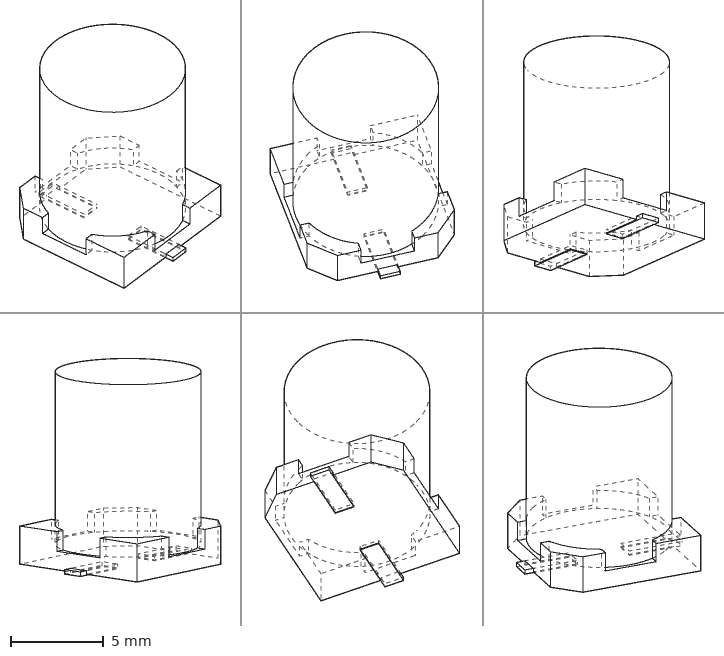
import cadquery as cq

total_height = 10.54
can_diameter = 7.88
base_width = 8.31
base_top = 2.15
base_bottom = 0.05
corner_chamfer = 1.32
notch_width = 3.01
seat_height = 1.08
lead_span = 9.3
lead_inner_gap = 3.08
lead_width = 1.12
lead_thickness = 0.25

lead_length = (lead_span - lead_inner_gap) / 2
lead_center = (lead_span + lead_inner_gap) / 4


def cylinder_can():
    """Capacitor can standing on the seat of the base."""
    return (
        cq.Workplane("XY")
        .workplane(offset=seat_height)
        .circle(can_diameter / 2)
        .extrude(total_height - seat_height)
    )


def lead_strip(side):
    """Flat lead running outward along X; side is -1 or +1."""
    return cq.Workplane("XY").box(
        lead_length, lead_width, lead_thickness, centered=(True, True, False)
    ).translate((side * lead_center, 0, 0))


def base_plate():
    """Square base with two chamfered corners on -X."""
    return (
        cq.Workplane("XY")
        .workplane(offset=base_bottom)
        .rect(base_width, base_width)
        .extrude(base_top - base_bottom)
        .edges("|Z and <X")
        .chamfer(corner_chamfer)
    )


def side_notches():
    """Crossing channels that open the rim in the middle of each side."""
    notch_depth = base_top - seat_height
    centering = (True, True, False)
    along_x = cq.Workplane("XY").box(base_width, notch_width, notch_depth, centered=centering)
    along_y = cq.Workplane("XY").box(notch_width, base_width, notch_depth, centered=centering)
    return along_x.union(along_y).translate((0, 0, seat_height))


can = cylinder_can()
leads = [lead_strip(side) for side in (-1, 1)]

base = base_plate().cut(side_notches()).cut(can)
for lead in leads:
    base = base.cut(lead)

result = cq.Compound.makeCompound([base.val(), can.val(), *[lead.val() for lead in leads]])